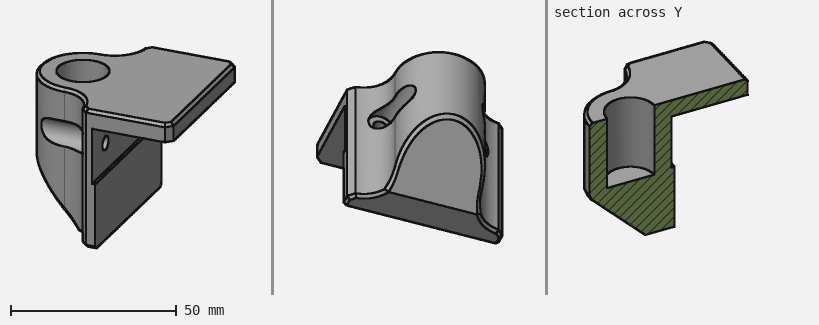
import cadquery as cq

width = 50.0
height = 46.0
boss_radius = 14.0
plate_end_x = 40.0
neck_radius = 10.0
corner_chamfer = 2.0
edge_chamfer = 1.0

plate_thickness = 6.0
leg_back_x = 15.0
relief_depth = 1.0
relief_bottom_z = -24.3

slope_foot_x = 5.0

bore_diameter = 16.0
bore_depth = 25.0

screw_diameter = 4.5
screw_head_diameter = 8.6
screw_spacing = 30.0
screw_z = -15.0
screw_seat_x = 10.0

fold_tolerance = 0.001

half_width = width / 2
neck_center_y = boss_radius + neck_radius
shoulder_y = half_width - corner_chamfer
shoulder_x = (neck_radius**2 - (neck_center_y - shoulder_y) ** 2) ** 0.5
neck_mid = neck_radius * 0.5**0.5
neck_mid_y = neck_center_y - neck_mid
side_start_x = shoulder_x + corner_chamfer


def block():
    """Full-height block with the plan outline: round boss, concave necks, chamfered corners."""
    return (
        cq.Workplane("XY")
        .workplane(offset=-height)
        .moveTo(0, boss_radius)
        .threePointArc((-boss_radius, 0), (0, -boss_radius))
        .threePointArc((neck_mid, -neck_mid_y), (shoulder_x, -shoulder_y))
        .lineTo(side_start_x, -half_width)
        .lineTo(plate_end_x - corner_chamfer, -half_width)
        .lineTo(plate_end_x, -shoulder_y)
        .lineTo(plate_end_x, shoulder_y)
        .lineTo(plate_end_x - corner_chamfer, half_width)
        .lineTo(side_start_x, half_width)
        .lineTo(shoulder_x, shoulder_y)
        .threePointArc((neck_mid, neck_mid_y), (0, boss_radius))
        .close()
        .extrude(height)
    )


def slope_cutter():
    """Wedge that removes the lower front of the boss at 45 degrees."""
    reach = slope_foot_x + 2 * boss_radius
    return (
        cq.Workplane("XZ")
        .moveTo(slope_foot_x, -height)
        .lineTo(slope_foot_x - reach, -height)
        .lineTo(slope_foot_x - reach, -height + reach)
        .close()
        .extrude(half_width, both=True)
    )


def angle_cutter():
    """Space under the plate and behind the leg, with the shallow relief in the leg's back."""
    return (
        cq.Workplane("XZ")
        .moveTo(leg_back_x, -height)
        .lineTo(leg_back_x, relief_bottom_z)
        .lineTo(leg_back_x - relief_depth, relief_bottom_z)
        .lineTo(leg_back_x - relief_depth, -plate_thickness)
        .lineTo(plate_end_x, -plate_thickness)
        .lineTo(plate_end_x, -height)
        .close()
        .extrude(half_width, both=True)
    )


def screw_cutter(y):
    """Screw clearance hole along X, with a flat-bottomed head recess open to the front."""
    plane = cq.Workplane("YZ", origin=(screw_seat_x, y, screw_z))
    hole = plane.circle(screw_diameter / 2).extrude(leg_back_x - screw_seat_x)
    head = plane.circle(screw_head_diameter / 2).extrude(-(screw_seat_x + boss_radius))
    return hole.union(head)


def chamfer_lower_rim(body):
    """Chamfer the outline of the foot and of the slope, leaving the fold between them sharp."""
    foot = body.faces("<Z").val()
    slope = body.faces(cq.DirectionMinMaxSelector(cq.Vector(-1, 0, -1))).val()
    rim = []
    for face in (foot, slope):
        for edge in face.Edges():
            on_fold = edge.geomType() == "LINE" and abs(edge.Center().x - slope_foot_x) < fold_tolerance
            if not on_fold:
                rim.append(edge)
    return body.newObject(rim).chamfer(edge_chamfer)


body = block().cut(slope_cutter())
body = body.faces(">Z").chamfer(edge_chamfer)
body = chamfer_lower_rim(body)

bore = cq.Workplane("XY").circle(bore_diameter / 2).extrude(-bore_depth)
result = body.cut(angle_cutter()).cut(bore)
for screw_y in (-screw_spacing / 2, screw_spacing / 2):
    result = result.cut(screw_cutter(screw_y))